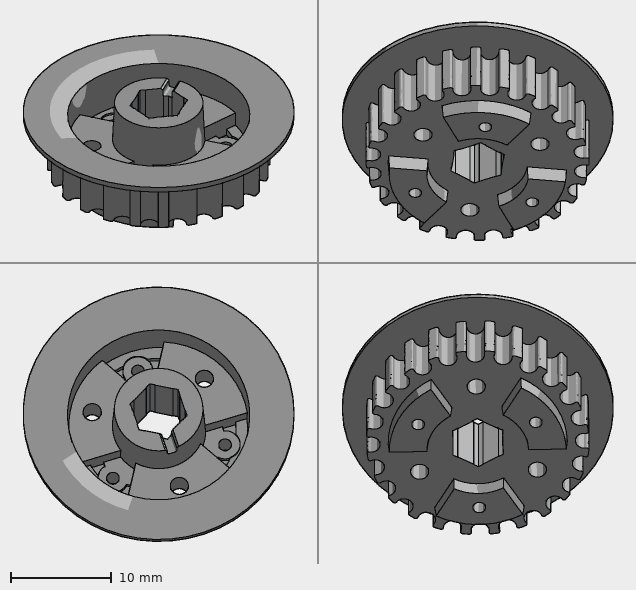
import cadquery as cq
import math

dog_height = 1.55
flange_top = 8.0
flange_edge_thickness = 0.55
hub_top = 9.0
web_top = 4.64
pocket_floor = 3.05
pocket_outer_floor = 3.25
pocket_corner_floor = 2.6
flange_edge_bottom = flange_top - flange_edge_thickness

flange_radius = 13.46
flange_slope = 0.253
tooth_count = 24
tip_radius = 11.07
groove_radius = 0.9
groove_center_radius = 10.6
groove_mouth_fillet = 0.22
bevel_radius = 10.8
cavity_radius = 9.05
draft_slope = 0.045
bevel_bottom = flange_top - (bevel_radius - cavity_radius) * flange_slope

hub_top_radius = 4.4
hex_across_flats = 4.94
hex_corner_across_flats = 5.0
hex_relief_length = 0.54
slot_width = 1.0
slot_depth = 1.0
slot_floor_fillet = 0.24
slot_mouth_chamfer = 0.2

web_angles = (90, 210, 330)
pocket_angles = (30, 150, 270)
hole_circle_radius = 6.75
web_hole_diameter = 1.8
pocket_hole_diameter = 1.25
boss_radius = 1.5
pocket_wall_offset = 1.38
pocket_draft_slope = 0.052
corner_start = 6.2
ledge_radius = 7.7
dog_inner_radius = 4.95
dog_outer_radius = 8.9
dog_span = 60
dog_taper = 4


def polar(radius, angle):
    """Point at a radius and an angle in degrees."""
    return radius * math.cos(math.radians(angle)), radius * math.sin(math.radians(angle))


def turned(shape, angle):
    """Shape turned about the Z axis by an angle in degrees."""
    return shape.rotate((0, 0, 0), (0, 0, 1), angle)


def cylinder(radius, bottom, top, center=(0, 0)):
    return cq.Workplane("XY").workplane(offset=bottom).center(*center).circle(radius).extrude(top - bottom)


def cavity_radius_at(z):
    """Radius of the drafted cavity wall, which narrows downwards."""
    return cavity_radius - (bevel_bottom - z) * draft_slope


def hub_radius_at(z):
    """Radius of the drafted hub, which widens downwards."""
    return hub_top_radius + (hub_top - z) * draft_slope


def toothed_rim():
    """Cylinder with round-bottomed belt grooves; the mouths of the grooves are rounded."""
    rim = cylinder(tip_radius, dog_height, flange_edge_bottom)
    groove_pitch = 360 / tooth_count
    for index in range(tooth_count):
        center = polar(groove_center_radius, 270 + index * groove_pitch)
        rim = rim.cut(cylinder(groove_radius, dog_height, flange_edge_bottom, center))
    return rim.edges("|Z").fillet(groove_mouth_fillet)


def flange():
    """Flat-topped disc with a conical underside."""
    core_radius = cavity_radius
    core_bottom = flange_edge_bottom - (flange_radius - core_radius) * flange_slope
    return (
        cq.Workplane("XZ")
        .moveTo(0, core_bottom)
        .lineTo(core_radius, core_bottom)
        .lineTo(flange_radius, flange_edge_bottom)
        .lineTo(flange_radius, flange_top)
        .lineTo(0, flange_top)
        .close()
        .revolve(360, (0, 0), (0, 1))
    )


def cavity(floor):
    """Drafted round space inside the rim, open at the top through a bevel."""
    return (
        cq.Workplane("XZ")
        .moveTo(0, floor)
        .lineTo(cavity_radius_at(floor), floor)
        .lineTo(cavity_radius, bevel_bottom)
        .lineTo(bevel_radius, flange_top)
        .lineTo(0, flange_top)
        .close()
        .revolve(360, (0, 0), (0, 1))
    )


def pocket_space(floor):
    """Drafted wedge along +X, from the web down to a floor, inside the rim.

    Its side walls stand at a constant offset from two radial lines.
    """
    half_angle = dog_span / 2
    apex = pocket_wall_offset / math.sin(math.radians(half_angle))
    reach = 2 * cavity_radius
    dx, dy = polar(reach, half_angle)
    wedge = (
        cq.Workplane("XY")
        .workplane(offset=web_top)
        .polyline([(apex, 0), (apex + dx, -dy), (apex + dx, dy)])
        .close()
        .extrude(floor - web_top, taper=math.degrees(math.atan(pocket_draft_slope)))
    )
    return cavity(floor).intersect(wedge)


def beside_boss(side):
    """Space on one side (+1 or -1) of the pocket, starting at a plane square to that side's wall."""
    reach = 2 * cavity_radius
    start = cq.Workplane("XY").box(reach, 2 * reach, web_top, centered=(False, True, False))
    start = turned(start.translate((corner_start, 0, 0)), side * dog_span / 2)
    half = cq.Workplane("XY").box(reach, reach, web_top, centered=(False, True, False))
    return start.intersect(half.translate((0, side * reach / 2, 0)))


def pocket():
    """Pocket along +X: its floor is lowest beside a round boss and highest next to the rim."""
    boss = cylinder(boss_radius, 0, web_top, (hole_circle_radius, 0))
    ledge_inside = cylinder(ledge_radius, 0, web_top)
    space = pocket_space(pocket_outer_floor)
    space = space.union(pocket_space(pocket_floor).intersect(ledge_inside.union(boss)))
    deep_space = pocket_space(pocket_corner_floor).intersect(ledge_inside).cut(boss)
    for side in (-1, 1):
        space = space.union(deep_space.intersect(beside_boss(side)))
    return space


def drive_dog():
    """Tapered ring sector along +X, standing below the web."""
    half_angle = dog_span / 2
    return (
        cq.Workplane("XY")
        .workplane(offset=dog_height)
        .moveTo(*polar(dog_inner_radius, -half_angle))
        .lineTo(*polar(dog_outer_radius, -half_angle))
        .threePointArc((dog_outer_radius, 0), polar(dog_outer_radius, half_angle))
        .lineTo(*polar(dog_inner_radius, half_angle))
        .threePointArc((dog_inner_radius, 0), polar(dog_inner_radius, -half_angle))
        .close()
        .extrude(-dog_height, taper=dog_taper)
    )


def hub():
    """Drafted hub rising from the underside of the web."""
    return (
        cq.Workplane("XZ")
        .moveTo(0, dog_height)
        .lineTo(hub_radius_at(dog_height), dog_height)
        .lineTo(hub_top_radius, hub_top)
        .lineTo(0, hub_top)
        .close()
        .revolve(360, (0, 0), (0, 1))
    )


def hex_prism(across_flats):
    """Hexagonal prism with two of its corners on the Y axis."""
    corner_diameter = across_flats / math.cos(math.radians(30))
    return turned(cq.Workplane("XY").polygon(6, corner_diameter).extrude(hub_top), 30)


def hex_bore():
    """Hexagonal bore that is slightly relieved near its corners."""
    bore = hex_prism(hex_across_flats)
    relief = hex_prism(hex_corner_across_flats)
    corner_radius = hex_corner_across_flats / 2 / math.cos(math.radians(30))
    for index in range(6):
        corner = polar(corner_radius, 30 + 60 * index)
        bore = bore.union(relief.intersect(cylinder(hex_relief_length, 0, hub_top, corner)))
    return bore


def hub_slot():
    """Radial slot across the top of the hub on the +Y side, with a filleted floor and chamfered mouth."""
    half = slot_width / 2
    mouth_half = half + slot_mouth_chamfer
    floor = hub_top - slot_depth
    slot_length = hub_radius_at(floor)
    slot = (
        cq.Workplane("XZ")
        .rect(slot_width, 2 * slot_depth)
        .extrude(-slot_length)
        .edges("|Y and <Z")
        .fillet(slot_floor_fillet)
        .translate((0, 0, hub_top))
    )
    mouth = (
        cq.Workplane("XZ")
        .polyline([(-mouth_half, hub_top), (mouth_half, hub_top), (0, hub_top - mouth_half)])
        .close()
        .extrude(-slot_length)
    )
    return slot.union(mouth)


result = toothed_rim().union(flange()).cut(cavity(web_top))
for angle in pocket_angles:
    result = result.cut(turned(pocket(), angle)).union(turned(drive_dog(), angle))
result = result.union(hub()).cut(hex_bore()).cut(hub_slot())
for angle in pocket_angles:
    result = result.cut(cylinder(pocket_hole_diameter / 2, 0, hub_top, polar(hole_circle_radius, angle)))
for angle in web_angles:
    result = result.cut(cylinder(web_hole_diameter / 2, 0, hub_top, polar(hole_circle_radius, angle)))